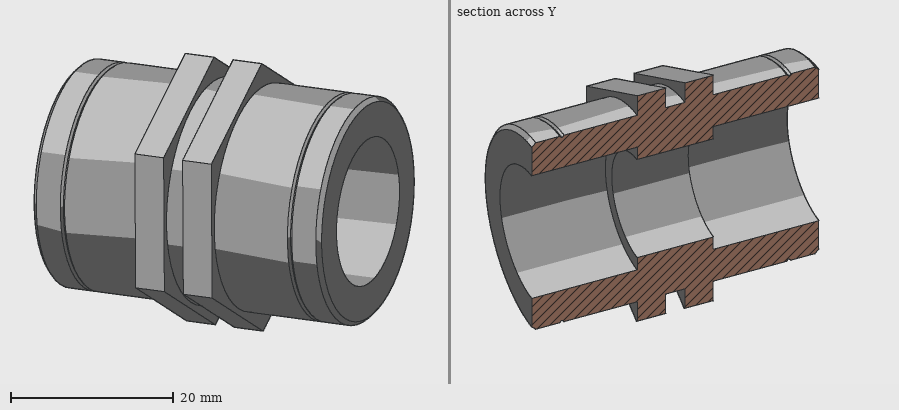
import cadquery as cq
import math

length = 39.0
sleeve_diameter = 28.5
end_chamfer = 0.55

groove_offset = 4.1
groove_width = 0.6
groove_depth = groove_width / 2

hex_corner_diameter = 34.65
hex_rotation = 0.7
nut_width = 3.9
nut_gap = 2.57

socket_diameter = 18.65
land_diameter = 14.9
land_length = nut_gap + 2 * nut_width

half_length = length / 2
sleeve_radius = sleeve_diameter / 2


def x_cylinder(diameter, start, span):
    """Cylinder along +X from the given start."""
    return cq.Workplane("YZ", origin=(start, 0, 0)).circle(diameter / 2).extrude(span)


def v_groove(center):
    """Ring with a triangular section that cuts a V into the sleeve."""
    half_width = groove_width / 2
    section = [
        (center - half_width, sleeve_radius),
        (center, sleeve_radius - groove_depth),
        (center + half_width, sleeve_radius),
    ]
    return cq.Workplane("XY").polyline(section).close().revolve(360, (0, 0, 0), (1, 0, 0))


def hex_nut(start):
    """Hexagonal plate with a corner near +Z."""
    corners = []
    for i in range(6):
        angle = math.radians(90 + hex_rotation + 60 * i)
        corner_radius = hex_corner_diameter / 2
        corners.append((corner_radius * math.cos(angle), corner_radius * math.sin(angle)))
    return cq.Workplane("YZ", origin=(start, 0, 0)).polyline(corners).close().extrude(nut_width)


result = x_cylinder(sleeve_diameter, -half_length, length).edges().chamfer(end_chamfer)
for side in (-1, 1):
    result = result.cut(v_groove(side * (half_length - groove_offset)))

for nut_start in (-nut_gap / 2 - nut_width, nut_gap / 2):
    result = result.union(hex_nut(nut_start))

result = result.cut(x_cylinder(land_diameter, -half_length, length))
socket_depth = (length - land_length) / 2
for socket_start in (-half_length, half_length - socket_depth):
    result = result.cut(x_cylinder(socket_diameter, socket_start, socket_depth))